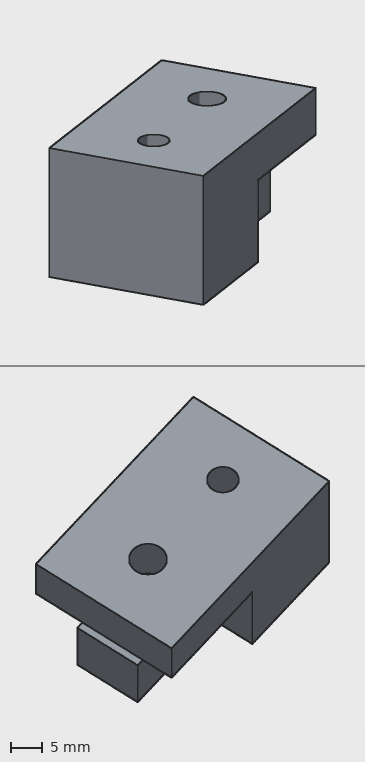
import cadquery as cq

width = 27.0
length = 41.0
height = 22.0

body_length = 20.0
plate_thickness = 8.0
arm_width = 12.0
arm_length = 20.0
arm_height = 10.0

body_hole_diameter = 5.0
body_hole_y = body_length / 2
clamp_hole_y = 29.48
plate_hole_diameter = 6.0
arm_hole_diameter = 4.22


def box_from(x_size, y_start, y_size, z_start, z_size):
    """Box centred on X, starting at the given Y and Z."""
    return (
        cq.Workplane("XY", origin=(0, y_start, z_start))
        .box(x_size, y_size, z_size, centered=(True, False, False))
    )


def vertical_cylinder(diameter, y, z_start, z_size):
    """Cutting cylinder on the centre plane, rising from z_start."""
    return cq.Workplane("XY", origin=(0, y, z_start)).circle(diameter / 2).extrude(z_size)


plate_bottom = height - plate_thickness
body = box_from(width, 0, body_length, 0, height)
plate = box_from(width, 0, length, plate_bottom, plate_thickness)
arm = box_from(arm_width, body_length, arm_length, 0, arm_height)

body_hole = vertical_cylinder(body_hole_diameter, body_hole_y, 0, height)
plate_hole = vertical_cylinder(plate_hole_diameter, clamp_hole_y, plate_bottom, plate_thickness)
arm_hole = vertical_cylinder(arm_hole_diameter, clamp_hole_y, 0, arm_height)

result = body.union(plate).union(arm).cut(body_hole).cut(plate_hole).cut(arm_hole)